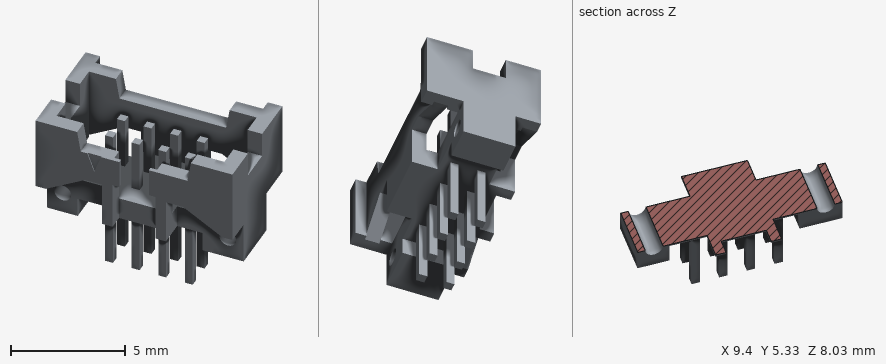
import cadquery as cq
import math


length = 9.4
side_wall = 0.7
long_wall = 0.69
long_wall_span = 4.82
rear_overhang = 0.51
top_z = 4.69
long_wall_outer_y = long_wall_span / 2
inner_x = length / 2 - side_wall
inner_y = long_wall_outer_y - long_wall
rear_y = long_wall_outer_y + rear_overhang

base_thickness = 1.08
base_half_width = 1.21
bridge_half_length = 1.52
left_foot_length = 1.48
right_foot_length = 1.96
foot_drop = 0.95
foot_hole_diameter = 0.8
foot_hole_x = 3.94
foot_hole_z = 0.09

notch_floor_z = 3.67
notch_top_half = 2.72
notch_floor_half = 2.55
window_top_z = 2.16
window_top_half = 2.34
window_slope = 30.0

end_notch_width = 1.52
end_notch_floor_z = 3.48

slot_half_width = 1.02
lip_half_gap = 0.705
lip_thickness = 0.19
lip_bottom_z = 2.29

pin_columns = 4
pin_rows = 2
pin_pitch = 1.27
pin_width = 0.38
pin_bottom_z = -3.34
pin_top_z = 3.58

mark_half_width = 0.33
mark_height = 0.9
mark_depth = 0.05


def block(x_range, y_range, z_range):
    """Box spanning the given (low, high) ranges."""
    size = [high - low for low, high in (x_range, y_range, z_range)]
    low_corner = (x_range[0], y_range[0], z_range[0])
    return cq.Workplane("XY").box(*size, centered=False).translate(low_corner)


def extrude_along_y(points, y_range):
    """Prism with an XZ outline, spanning y_range."""
    depth = y_range[1] - y_range[0]
    return cq.Workplane("XZ", origin=(0, y_range[1], 0)).polyline(points).close().extrude(depth)


def make_walls():
    """Two end walls and two long walls above the base; the end walls stick out further at the rear."""
    wall_z = (base_thickness, top_z)
    outline = block((-length / 2, length / 2), (-long_wall_outer_y, rear_y), wall_z)
    cavity = block((-inner_x, inner_x), (-inner_y, inner_y), wall_z)
    rear_recess = block((-inner_x, inner_x), (long_wall_outer_y, rear_y), wall_z)
    return outline.cut(cavity).cut(rear_recess)


def make_base():
    """Narrow floor between the end walls, with a wide middle that carries the long walls."""
    base_z = (0, base_thickness)
    floor = block((-length / 2, length / 2), (-base_half_width, base_half_width), base_z)
    bridge_x = (-bridge_half_length, bridge_half_length)
    bridge = block(bridge_x, (-long_wall_outer_y, long_wall_outer_y), base_z)
    return floor.union(bridge)


def make_foot(side, foot_length):
    """Mounting foot below one end of the base."""
    x_range = sorted((side * length / 2, side * (length / 2 - foot_length)))
    return block(x_range, (-base_half_width, base_half_width), (-foot_drop, base_thickness))


def make_foot_hole(side):
    """Round hole through one foot along Y."""
    hole = cq.Workplane("XZ", origin=(side * foot_hole_x, base_half_width, foot_hole_z))
    return hole.circle(foot_hole_diameter / 2).extrude(2 * base_half_width)


def make_long_wall_notch():
    """Tapered notch across the tops of both long walls."""
    points = [
        (-notch_top_half, top_z),
        (-notch_floor_half, notch_floor_z),
        (notch_floor_half, notch_floor_z),
        (notch_top_half, top_z),
    ]
    return extrude_along_y(points, (-long_wall_outer_y, long_wall_outer_y))


def make_window(side, y_range):
    """Opening above the base in a long wall, closed by a sloping edge towards the end wall."""
    window_height = window_top_z - base_thickness
    slope_run = window_height / math.tan(math.radians(window_slope))
    points = [
        (side * bridge_half_length, base_thickness),
        (side * bridge_half_length, window_top_z),
        (side * window_top_half, window_top_z),
        (side * (window_top_half + slope_run), base_thickness),
    ]
    return extrude_along_y(points, y_range)


def make_end_notches():
    """Rectangular notch across the tops of both end walls."""
    notch_y = (-end_notch_width / 2, end_notch_width / 2)
    return block((-length / 2, length / 2), notch_y, (end_notch_floor_z, top_z))


def make_key_slot():
    """Slot through the front wall, leaving the two lips at its outer face."""
    front_y = -long_wall_outer_y
    wall_y = (front_y, -inner_y)
    behind_lips_y = (front_y + lip_thickness, -inner_y)
    wide_x = (-slot_half_width, slot_half_width)
    gap = block((-lip_half_gap, lip_half_gap), wall_y, (0, top_z))
    behind_lips = block(wide_x, behind_lips_y, (0, top_z))
    below_lips = block(wide_x, wall_y, (0, lip_bottom_z))
    return gap.union(behind_lips).union(below_lips)


def make_pin_mark():
    """Shallow triangle in the front face, pointing at the first pin column."""
    mark_x = -pin_pitch * (pin_columns - 1) / 2
    points = [
        (mark_x - mark_half_width, notch_floor_z),
        (mark_x + mark_half_width, notch_floor_z),
        (mark_x, notch_floor_z - mark_height),
    ]
    return extrude_along_y(points, (-long_wall_outer_y, -long_wall_outer_y + mark_depth))


def make_pins():
    """Square pins passing through the base."""
    return (
        cq.Workplane("XY", origin=(0, 0, pin_bottom_z))
        .rarray(pin_pitch, pin_pitch, pin_columns, pin_rows)
        .rect(pin_width, pin_width)
        .extrude(pin_top_z - pin_bottom_z)
    )


housing = make_walls().union(make_base())
housing = housing.union(make_foot(-1, left_foot_length))
housing = housing.union(make_foot(1, right_foot_length))
for end in (-1, 1):
    housing = housing.cut(make_foot_hole(end))
    housing = housing.cut(make_window(end, (-long_wall_outer_y, -inner_y)))
    housing = housing.cut(make_window(end, (inner_y, long_wall_outer_y)))
housing = housing.cut(make_long_wall_notch())
housing = housing.cut(make_end_notches())
housing = housing.cut(make_key_slot())
housing = housing.cut(make_pin_mark())

result = housing.union(make_pins())